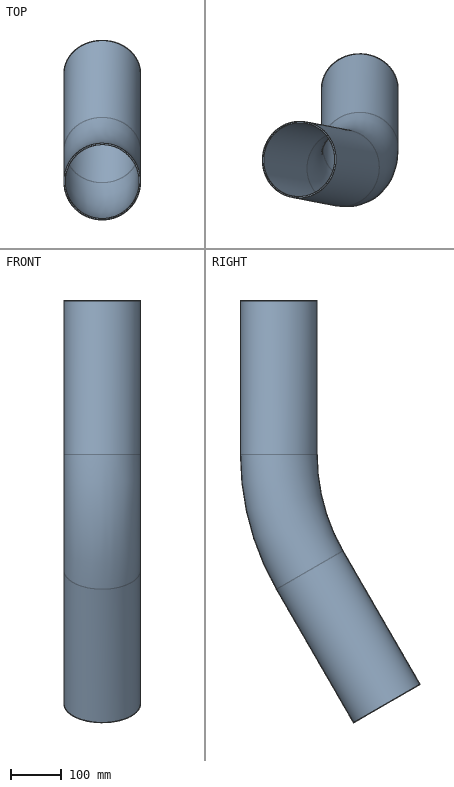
import cadquery as cq
import math

overall_height = 835.5
outer_diameter = 152.0
inner_diameter = 146.0
bend_angle = 30.0
bend_radius = 3 * outer_diameter

angle = math.radians(bend_angle)
bend_height = bend_radius * math.sin(angle)
tilted_end_drop = outer_diameter / 2 * math.sin(angle)
leg_length = (overall_height - bend_height - tilted_end_drop) / (1 + math.cos(angle))


def bend_point(turn):
    """Centreline point (Y, Z) after turning through an angle from the vertical leg."""
    return (bend_radius * (1 - math.cos(turn)), -bend_radius * math.sin(turn))


bend_end = bend_point(angle)
lower_end = (
    bend_end[0] + leg_length * math.sin(angle),
    bend_end[1] - leg_length * math.cos(angle),
)
centreline = (
    cq.Workplane("YZ")
    .moveTo(0, leg_length)
    .lineTo(0, 0)
    .threePointArc(bend_point(angle / 2), bend_end)
    .lineTo(*lower_end)
)

result = (
    cq.Workplane("XY", origin=(0, 0, leg_length))
    .circle(outer_diameter / 2)
    .circle(inner_diameter / 2)
    .sweep(centreline)
)